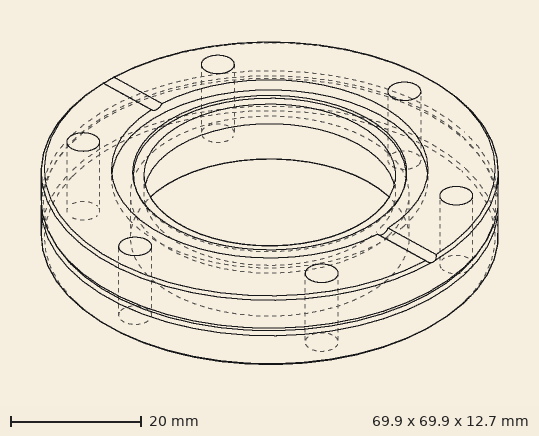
import cadquery as cq
import math

outer_radius = 34.95
thickness = 12.7
half_thickness = thickness / 2
edge_chamfer = 0.5

bore_radius = 19.2
bore_length = 3.6
socket_radius = 21.3

rim_groove_half_width = 0.7
rim_groove_depth = 0.35

recess_radius = 24.2
knife_outer_radius = 21.0
knife_inner_radius = 20.8
knife_tip_depth = 0.7
knife_slope = 20.0
inner_face_depth = 1.1

hole_count = 6
hole_diameter = 5.0
bolt_circle_radius = 29.4

leak_groove_angle = 30.0
leak_groove_width = 2.3
leak_groove_depth = 0.55

recess_floor_depth = knife_tip_depth + (recess_radius - knife_outer_radius) * math.tan(
    math.radians(knife_slope)
)


def flange_ring():
    """Revolve the full cross-section, running up the rim and back down the bore."""
    knife_tip_z = half_thickness - knife_tip_depth
    inner_face_z = half_thickness - inner_face_depth
    socket_top_z = inner_face_z - bore_length
    profile = (
        cq.Workplane("XZ")
        .moveTo(socket_radius, -half_thickness)
        .lineTo(outer_radius - edge_chamfer, -half_thickness)
        .lineTo(outer_radius, -half_thickness + edge_chamfer)
        .lineTo(outer_radius, -rim_groove_half_width)
        .lineTo(outer_radius - rim_groove_depth, 0)
        .lineTo(outer_radius, rim_groove_half_width)
        .lineTo(outer_radius, half_thickness - edge_chamfer)
        .lineTo(outer_radius - edge_chamfer, half_thickness)
        .lineTo(recess_radius, half_thickness)
        .lineTo(recess_radius, half_thickness - recess_floor_depth)
        .lineTo(knife_outer_radius, knife_tip_z)
        .lineTo(knife_inner_radius, inner_face_z)
        .lineTo(bore_radius, inner_face_z)
        .lineTo(bore_radius, socket_top_z)
        .lineTo(socket_radius, socket_top_z)
        .close()
    )
    return profile.revolve(360, (0, 0, 0), (0, 1, 0))


def bolt_holes():
    """Through holes evenly spaced on the bolt circle, the first one on +X."""
    return (
        cq.Workplane("XY")
        .workplane(offset=-half_thickness)
        .polarArray(bolt_circle_radius, 0, 360, hole_count)
        .circle(hole_diameter / 2)
        .extrude(thickness)
    )


def leak_grooves():
    """One cylinder across the whole top face cuts both opposite grooves."""
    groove_radius = (leak_groove_width**2 / 4 + leak_groove_depth**2) / (2 * leak_groove_depth)
    axis_z = half_thickness - leak_groove_depth + groove_radius
    cutter = cq.Workplane("YZ").center(0, axis_z).circle(groove_radius).extrude(outer_radius, both=True)
    return cutter.rotate((0, 0, 0), (0, 0, 1), leak_groove_angle)


result = flange_ring().cut(bolt_holes()).cut(leak_grooves())